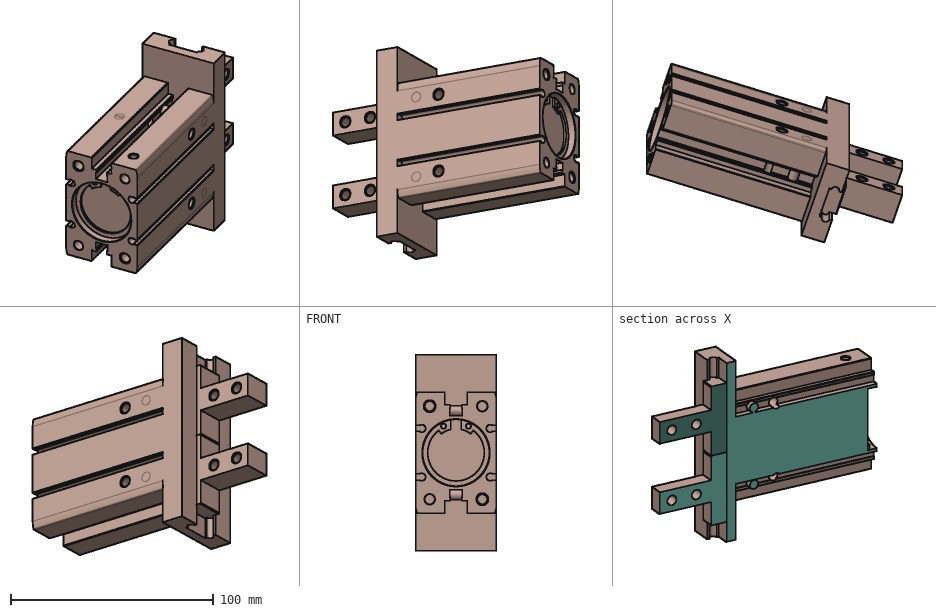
import cadquery as cq
import math


total_length = 123.9
width = 40.0
body_height = 60.0
body_length = 80.5
rail_height = 97.0
rail_front_y = 92.4
rail_edge_chamfer = 0.2

side_curve_radius = 11.0
side_curve_start_z = 25.75
top_edge_fillet = 0.6

slot_width = 11.0
slot_step_z = 23.7
slot_neck_width = 5.5
slot_neck_end_z = 22.0
slot_inner_width = 6.4
slot_floor_z = 18.3
slot_edge_chamfer = 0.3

groove_z = 12.0
groove_mouth_width = 3.0
groove_mouth_chamfer = 0.25
groove_neck_depth = 2.25
groove_pocket_width = 3.6
groove_depth = 5.0

bore_diameter = 33.0
bore_chamfer = 0.25
ring_depth = 4.0
ring_thickness = 1.2
ring_inner_radius = 14.0
ring_gap = 5.4
lug_inner_radius = 11.85
lug_half_angle = math.radians(37.8)
lug_hole_diameter = 2.5
lug_hole_x = 6.18
lug_hole_z = 13.15

m6_core = 4.92
m6_countersink = 6.0
m5_core = 4.13
m5_countersink = 5.0
mount_hole_x = 13.0
mount_hole_z = 23.0
mount_hole_depth = 12.0
plain_mount_diameter = 5.0
plain_mount_mouth = 5.3
cross_hole_y = 57.3
cross_hole_z = 20.0

port_x = 12.0
port_y = 11.0
port_depth = 4.0
plug_x = -12.0
plug_y = 41.0
plug_diameter = 5.0
plug_length = 2.0
plug_slot_width = 1.0
plug_slot_depth = 0.5

dowel_diameter = 5.0
dowel_y = 70.1
dowel_z = 20.8

jaw_width = 15.4
channel_depth = 6.5
guide_diameter = 3.95
guide_depth = 3.4
guide_center_x = 7.6
jaw_base_height = 37.7
jaw_base_front_y = 94.75
jaw_base_chamfer = 0.4
arm_thickness = 12.0
arm_center_z = 19.0
tip_hole_offset = 7.0
tip_hole_spacing = 14.0

half_width = width / 2
half_body = body_height / 2


def box(x_range, y_range, z_range):
    size = [high - low for low, high in (x_range, y_range, z_range)]
    corner = cq.Vector(x_range[0], y_range[0], z_range[0])
    return cq.Workplane(cq.Solid.makeBox(*size, corner))


def cylinder(diameter, length, start, direction):
    return cq.Workplane(cq.Solid.makeCylinder(diameter / 2, length, cq.Vector(*start), cq.Vector(*direction)))


def countersunk_hole(core, mouth, length, start, direction):
    """Cutter with a 45 degree cone at its mouth."""
    cone_height = (mouth - core) / 2
    cone = cq.Solid.makeCone(mouth / 2, core / 2, cone_height, cq.Vector(*start), cq.Vector(*direction))
    return cylinder(core, length, start, direction).union(cq.Workplane(cone))


def through_x_hole(half_length, y, z):
    """M6 hole along X, countersunk at both ends."""
    hole = cylinder(m6_core, 2 * half_length, (-half_length, y, z), (1, 0, 0))
    for side in (-1, 1):
        cone_depth = (m6_countersink - m6_core) / 2
        start = (side * half_length, y, z)
        hole = hole.union(countersunk_hole(m6_core, m6_countersink, 2 * cone_depth, start, (-side, 0, 0)))
    return hole


def body_blank():
    """Bar along Y whose corners curve in gently and end in a small fillet."""
    rise = half_body - side_curve_start_z
    mid_rise = rise / 2
    corner_x = half_width - side_curve_radius + math.sqrt(side_curve_radius**2 - rise**2)
    mid_x = half_width - side_curve_radius + math.sqrt(side_curve_radius**2 - mid_rise**2)
    mid_z = side_curve_start_z + mid_rise
    blank = (
        cq.Workplane("XZ")
        .moveTo(half_width, -side_curve_start_z)
        .lineTo(half_width, side_curve_start_z)
        .threePointArc((mid_x, mid_z), (corner_x, half_body))
        .lineTo(-corner_x, half_body)
        .threePointArc((-mid_x, mid_z), (-half_width, side_curve_start_z))
        .lineTo(-half_width, -side_curve_start_z)
        .threePointArc((-mid_x, -mid_z), (-corner_x, -half_body))
        .lineTo(corner_x, -half_body)
        .threePointArc((mid_x, -mid_z), (half_width, -side_curve_start_z))
        .close()
        .extrude(-body_length)
    )
    return blank.faces("<Z or >Z").edges("|Y").fillet(top_edge_fillet)


def t_slot():
    """Cutter for the slot along the top of the body, with chamfered rims."""
    c = slot_edge_chamfer
    wide = slot_width / 2
    neck = slot_neck_width / 2
    inner = slot_inner_width / 2
    right_side = [
        (inner, slot_floor_z),
        (inner, slot_neck_end_z),
        (neck, slot_neck_end_z),
        (neck, slot_step_z - c),
        (neck + c, slot_step_z),
        (wide, slot_step_z),
        (wide, half_body - c),
        (wide + c, half_body),
    ]
    left_side = [(-x, z) for x, z in reversed(right_side)]
    return cq.Workplane("XZ").polyline(right_side + left_side).close().extrude(-body_length)


def side_groove():
    """Cutter for a round-bottomed groove in the +X side at Z = 0, wider behind its chamfered mouth."""
    mouth = groove_mouth_width / 2
    pocket = groove_pocket_width / 2
    c = groove_mouth_chamfer
    neck_x = half_width - groove_neck_depth
    bottom_x = half_width - groove_depth
    arc_x = bottom_x + pocket
    return (
        cq.Workplane("XZ")
        .moveTo(half_width, mouth + c)
        .lineTo(half_width - c, mouth)
        .lineTo(neck_x, mouth)
        .lineTo(neck_x, pocket)
        .lineTo(arc_x, pocket)
        .threePointArc((bottom_x, 0), (arc_x, -pocket))
        .lineTo(neck_x, -pocket)
        .lineTo(neck_x, -mouth)
        .lineTo(half_width - c, -mouth)
        .lineTo(half_width, -mouth - c)
        .close()
        .extrude(-body_length)
    )


def channel_profile():
    """Channel section filled by the jaws: a rectangle with a round bead on each side."""
    floor_y = rail_front_y - channel_depth
    half_jaw = jaw_width / 2
    half_rail = rail_height / 2
    channel = box((-half_jaw, half_jaw), (floor_y, rail_front_y), (-half_rail, half_rail))
    for side in (-1, 1):
        bead_start = (side * guide_center_x, rail_front_y - guide_depth, -half_rail)
        channel = channel.union(cylinder(guide_diameter, rail_height, bead_start, (0, 0, 1)))
    return channel


def mounting_holes():
    """Four holes in the rear face; one diagonal pair is M6 and countersunk."""
    holes = cq.Workplane()
    for x_side in (-1, 1):
        for z_side in (-1, 1):
            start = (x_side * mount_hole_x, 0, z_side * mount_hole_z)
            if x_side == z_side:
                core, mouth = plain_mount_diameter, plain_mount_mouth
            else:
                core, mouth = m6_core, m6_countersink
            hole = countersunk_hole(core, mouth, mount_hole_depth, start, (0, 1, 0))
            holes = holes.add(hole)
    return holes


def plug_slot():
    """Screwdriver slot across the plug."""
    return box(
        (plug_x - plug_diameter / 2, plug_x + plug_diameter / 2),
        (plug_y - plug_slot_width / 2, plug_y + plug_slot_width / 2),
        (half_body - plug_slot_depth, half_body),
    )


def slotted_plug():
    """Closing plug, flush with the top face."""
    plug = cylinder(plug_diameter, plug_length, (plug_x, plug_y, half_body), (0, 0, -1))
    return plug.cut(plug_slot())


def make_housing():
    rail = box((-half_width, half_width), (body_length, rail_front_y), (-rail_height / 2, rail_height / 2))
    rail = rail.faces(">Y").edges("|Z").chamfer(rail_edge_chamfer)
    housing = body_blank().union(rail)
    housing = housing.cut(channel_profile())

    slot = t_slot()
    housing = housing.cut(slot).cut(slot.mirror("XY"))
    for z in (-groove_z, groove_z):
        groove = side_groove().translate((0, 0, z))
        housing = housing.cut(groove).cut(groove.mirror("YZ"))

    bore_mouth = bore_diameter + 2 * bore_chamfer
    bore_depth = ring_depth + ring_thickness
    housing = housing.cut(countersunk_hole(bore_diameter, bore_mouth, bore_depth, (0, 0, 0), (0, 1, 0)))

    for hole in mounting_holes().vals():
        housing = housing.cut(cq.Workplane(hole))
    for z in (-cross_hole_z, cross_hole_z):
        housing = housing.cut(through_x_hole(half_width, cross_hole_y, z))

    port_start = (port_x, port_y, half_body)
    housing = housing.cut(countersunk_hole(m5_core, m5_countersink, port_depth, port_start, (0, 0, -1)))

    lower_dowel = cylinder(dowel_diameter, width, (-half_width, dowel_y, -dowel_z), (1, 0, 0))
    inserts = [lower_dowel, lower_dowel.mirror("XY"), slotted_plug()]
    for insert in inserts:
        housing = housing.cut(insert)
    for insert in inserts:
        housing = housing.union(insert, clean=False)
    return housing


def make_retaining_ring():
    """Open ring against the bore floor, with a drilled lug on each side of its gap."""
    outer_radius = bore_diameter / 2
    sector_reach = 2 * outer_radius
    lug_sector = (
        cq.Workplane("XZ")
        .moveTo(0, 0)
        .lineTo(sector_reach * math.sin(lug_half_angle), sector_reach * math.cos(lug_half_angle))
        .lineTo(-sector_reach * math.sin(lug_half_angle), sector_reach * math.cos(lug_half_angle))
        .close()
        .extrude(-ring_thickness)
    )
    band = cq.Workplane("XZ").circle(outer_radius).circle(ring_inner_radius).extrude(-ring_thickness)
    lugs = cq.Workplane("XZ").circle(outer_radius).circle(lug_inner_radius).extrude(-ring_thickness)
    ring = band.union(lugs.intersect(lug_sector))
    ring = ring.cut(box((-ring_gap / 2, ring_gap / 2), (0, ring_thickness), (0, outer_radius)))
    for x in (-lug_hole_x, lug_hole_x):
        ring = ring.cut(cylinder(lug_hole_diameter, ring_thickness, (x, 0, lug_hole_z), (0, 1, 0)))
    return ring.translate((0, ring_depth, 0))


def make_jaw():
    """Upper jaw: a slide in the rail channel with an arm that carries two cross holes."""
    half_jaw = jaw_width / 2
    slide_range = box((-half_width, half_width), (body_length, rail_front_y), (0, jaw_base_height))
    slide = channel_profile().intersect(slide_range)
    base = box((-half_jaw, half_jaw), (rail_front_y, jaw_base_front_y), (0, jaw_base_height))
    base = base.faces(">Y").edges("|X").chamfer(jaw_base_chamfer)
    arm = box(
        (-half_jaw, half_jaw),
        (rail_front_y, total_length),
        (arm_center_z - arm_thickness / 2, arm_center_z + arm_thickness / 2),
    )
    jaw = slide.union(base).union(arm)
    for offset in (tip_hole_offset, tip_hole_offset + tip_hole_spacing):
        jaw = jaw.cut(through_x_hole(half_jaw, total_length - offset, arm_center_z))
    return jaw


housing = make_housing()
retaining_ring = make_retaining_ring()
upper_jaw = make_jaw()
lower_jaw = upper_jaw.mirror("XY")
bodies = [housing, retaining_ring, upper_jaw, lower_jaw]
result = cq.Compound.makeCompound([body.solids().val() for body in bodies])